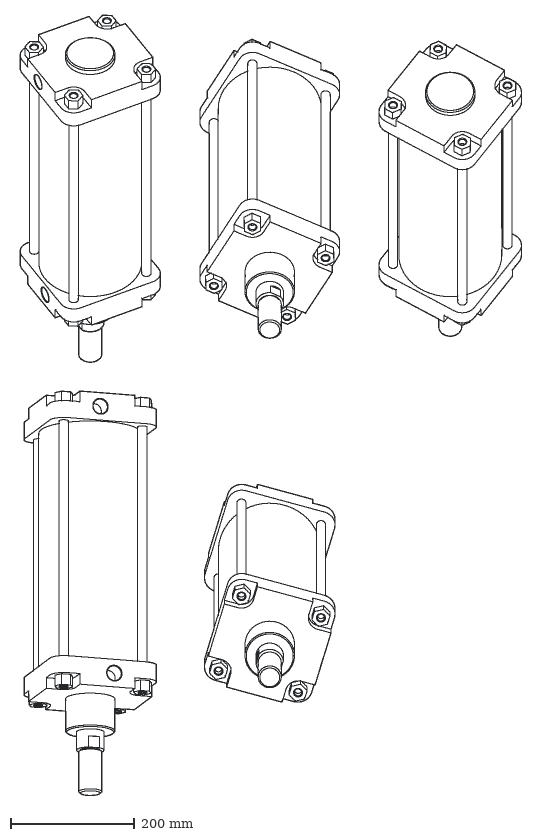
import cadquery as cq
import math


total_length = 657.0
thread_length = 71.5
flats_length = 18.5
collar_length = 12.0
nose_length = 55.0
cap_height = 46.0
spigot_length = 10.5

flats_z = thread_length
collar_z = flats_z + flats_length
nose_z = collar_z + collar_length
front_cap_z = nose_z + nose_length
barrel_z = front_cap_z + cap_height
rear_cap_top_z = total_length - spigot_length
rear_cap_z = rear_cap_top_z - cap_height
barrel_length = rear_cap_z - barrel_z

cap_width = 180.0
cap_corner_radius = 23.5
spigot_diameter = 80.0
spigot_chamfer = 2.3
nose_chamfer = 2.0

port_diameter = 24.0
port_offset = 12.0
port_depth = 33.0
port_chamfer = 1.0

barrel_diameter = 167.0

tie_rod_offset = 67.0
tie_rod_diameter = 15.0
nut_width = 26.0
nut_height = 18.0
nut_bore_diameter = 12.0
nut_bore_depth = 13.0
nut_bore_chamfer = 1.0
pocket_radius = 20.5
pocket_depth = nut_height

rod_diameter = 45.0
flats_width = 41.0
thread_diameter = 37.5
thread_chamfer = 2.5

tie_rod_points = [
    (x_side * tie_rod_offset, y_side * tie_rod_offset)
    for x_side in (-1, 1)
    for y_side in (-1, 1)
]


def cylinder(diameter, length, base_z):
    """Upright cylinder on the Z axis."""
    return cq.Workplane("XY").workplane(offset=base_z).circle(diameter / 2).extrude(length)


def corner_pockets(base_z):
    """Four pockets, open to the outside, each rounded about its tie rod."""
    pocket_size = cap_width / 2 - tie_rod_offset + pocket_radius
    pocket_center = cap_width / 2 - pocket_size / 2
    pockets = (
        cq.Workplane("XY")
        .workplane(offset=base_z)
        .rect(2 * pocket_center, 2 * pocket_center, forConstruction=True)
        .vertices()
        .rect(pocket_size, pocket_size)
        .extrude(pocket_depth)
    )
    inner_edges = cq.selectors.BoxSelector(
        (-pocket_center, -pocket_center, base_z),
        (pocket_center, pocket_center, base_z + pocket_depth),
    )
    return pockets.edges("|Z").edges(inner_edges).fillet(pocket_radius)


def cap_block(base_z, pocket_z, port_x):
    """Rounded square cap with corner pockets, tie rod holes and one port."""
    block = (
        cq.Workplane("XY")
        .workplane(offset=base_z)
        .rect(cap_width, cap_width)
        .extrude(cap_height)
        .edges("|Z")
        .fillet(cap_corner_radius)
    )
    tie_rod_holes = (
        cq.Workplane("XY")
        .workplane(offset=base_z)
        .pushPoints(tie_rod_points)
        .circle(tie_rod_diameter / 2)
        .extrude(cap_height)
    )
    port = (
        cq.Workplane("XZ", origin=(port_x, -cap_width / 2, base_z + cap_height / 2))
        .circle(port_diameter / 2)
        .extrude(-port_depth)
    )
    block = block.cut(corner_pockets(pocket_z)).cut(tie_rod_holes).cut(port)
    return block.faces("<Y").edges("%CIRCLE").chamfer(port_chamfer)


def make_front_cap():
    """Rod-side cap with the long nose below it."""
    nose = cylinder(spigot_diameter, nose_length, nose_z).faces("<Z").chamfer(nose_chamfer)
    return cap_block(front_cap_z, front_cap_z, port_offset).union(nose)


def make_rear_cap():
    """Blind-side cap with the short spigot on top."""
    spigot = cylinder(spigot_diameter, spigot_length, rear_cap_top_z).faces(">Z").chamfer(spigot_chamfer)
    return cap_block(rear_cap_z, rear_cap_top_z - pocket_depth, -port_offset).union(spigot)


def make_barrel():
    """Plain cylinder between the caps."""
    return cylinder(barrel_diameter, barrel_length, barrel_z)


def make_piston_rod():
    """Rod end: collar with two wrench flats above a thread chamfered at both ends."""
    collar = cylinder(rod_diameter, collar_length, collar_z)
    flats = cylinder(rod_diameter, flats_length, flats_z).intersect(
        cq.Workplane("XY").box(2 * rod_diameter, flats_width, 2 * total_length)
    )
    thread = cylinder(thread_diameter, thread_length, 0).edges("%CIRCLE").chamfer(thread_chamfer)
    return collar.union(flats).union(thread)


def make_tie_rod(x, y):
    """Tie rod through both caps, with a hexagon nut and a chamfered bore at each end."""
    nut_corner_diameter = nut_width / math.cos(math.pi / 6)
    upper_nut_z = rear_cap_top_z - nut_height
    upper_bore_z = rear_cap_top_z - nut_bore_depth

    def start_at(base_z):
        return cq.Workplane("XY", origin=(x, y, base_z))

    tie_rod = start_at(front_cap_z).circle(tie_rod_diameter / 2).extrude(rear_cap_top_z - front_cap_z)
    for nut_z in (front_cap_z, upper_nut_z):
        tie_rod = tie_rod.union(start_at(nut_z).polygon(6, nut_corner_diameter).extrude(nut_height))
    for bore_z in (front_cap_z, upper_bore_z):
        tie_rod = tie_rod.cut(start_at(bore_z).circle(nut_bore_diameter / 2).extrude(nut_bore_depth))
    return tie_rod.faces("<Z or >Z").edges("%CIRCLE").chamfer(nut_bore_chamfer)


front_cap = make_front_cap()
rear_cap = make_rear_cap()
barrel = make_barrel()
piston_rod = make_piston_rod()
tie_rods = [make_tie_rod(x, y) for x, y in tie_rod_points]

result = cq.Compound.makeCompound([
    front_cap.val(),
    rear_cap.val(),
    barrel.val(),
    piston_rod.val(),
    *[tie_rod.val() for tie_rod in tie_rods],
])